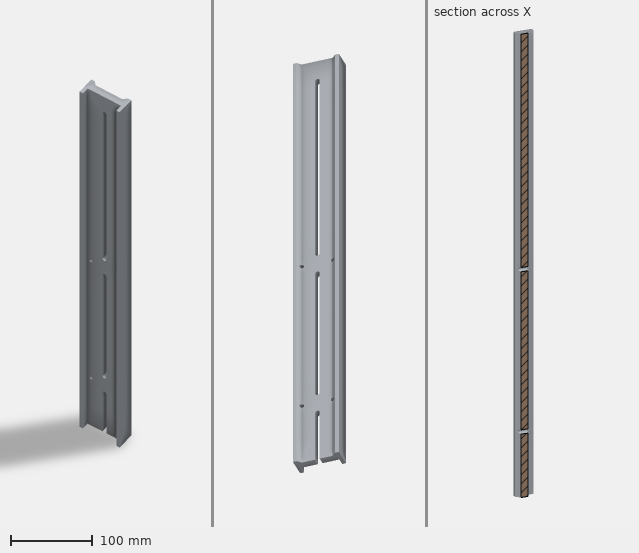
import cadquery as cq

WIDTH = 60.0
DEPTH = 25.0
LENGTH = 600.0

FLANGE_THICKNESS = 5.0
WEB_THICKNESS = 10.0
BACK_RECESS = 5.0

HOLE_DIAMETER = 5.0
HOLE_SPACING = 40.0
HOLE_HEIGHTS = (85.0, 295.0)
SLOT_WIDTH = 6.0
SLOT_TO_HOLES = 15.0
TOP_MARGIN = 30.0

BOTTOM = -LENGTH / 2
WEB_BACK = DEPTH / 2 - BACK_RECESS
WEB_FRONT = WEB_BACK - WEB_THICKNESS


def make_profile():
    """H-section extrusion: square channel in front, sloping-sided channel at the back."""
    half_inner = WIDTH / 2 - FLANGE_THICKNESS
    half_floor = half_inner - BACK_RECESS
    front_channel = [
        (-half_inner, -DEPTH / 2),
        (half_inner, -DEPTH / 2),
        (half_inner, WEB_FRONT),
        (-half_inner, WEB_FRONT),
    ]
    back_channel = [
        (-half_inner, DEPTH / 2),
        (half_inner, DEPTH / 2),
        (half_floor, WEB_BACK),
        (-half_floor, WEB_BACK),
    ]
    body = cq.Workplane("XY").box(WIDTH, DEPTH, LENGTH)
    for outline in (front_channel, back_channel):
        channel = cq.Workplane("XY").workplane(offset=BOTTOM).polyline(outline).close().extrude(LENGTH)
        body = body.cut(channel)
    return body


def make_slot(lower_centre, upper_centre):
    """Round-ended vertical slot cutter, given the heights of its end centres."""
    slot_length = upper_centre - lower_centre + SLOT_WIDTH
    middle = BOTTOM + (lower_centre + upper_centre) / 2
    return (
        cq.Workplane("XZ")
        .center(0, middle)
        .slot2D(slot_length, SLOT_WIDTH, 90)
        .extrude(DEPTH / 2, both=True)
    )


def make_hole_row(height):
    """Pair of hole cutters at the given height above the bottom end."""
    hole_x = HOLE_SPACING / 2
    return (
        cq.Workplane("XZ")
        .center(0, BOTTOM + height)
        .pushPoints([(-hole_x, 0), (hole_x, 0)])
        .circle(HOLE_DIAMETER / 2)
        .extrude(DEPTH / 2, both=True)
    )


result = make_profile()

slot_start = -SLOT_WIDTH
for hole_height in HOLE_HEIGHTS:
    result = result.cut(make_hole_row(hole_height))
    result = result.cut(make_slot(slot_start, hole_height - SLOT_TO_HOLES))
    slot_start = hole_height + SLOT_TO_HOLES

result = result.cut(make_slot(slot_start, LENGTH - TOP_MARGIN))